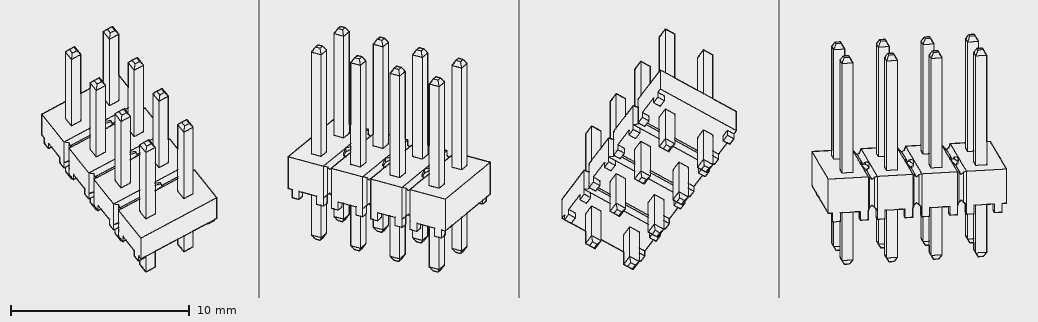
import cadquery as cq


columns = 4
rows = 2
body_length = 10.15
pitch = body_length / columns
body_width = pitch * rows
body_height = 2.02

notch_half_width = 0.25
notch_floor_half_width = 0.13
notch_depth = 0.25
pocket_half_length = 0.51

foot_size = 0.44
foot_height = 0.51

pin_length = 12.19
pin_above_body = 6.74
pin_width = 0.63
tip_width = 0.3
tip_length = 0.29

pin_bottom = body_height + pin_above_body - pin_length
column_centres = [(i - (columns - 1) / 2) * pitch for i in range(columns)]
row_centres = [(j - (rows - 1) / 2) * pitch for j in range(rows)]
break_lines = [x + pitch / 2 for x in column_centres[:-1]]


def v_groove(x, surface_z, apex_z):
    """V-shaped groove running the full width of the body."""
    profile = [
        (x - notch_half_width, surface_z),
        (x + notch_half_width, surface_z),
        (x, apex_z),
    ]
    return cq.Workplane("XZ").polyline(profile).close().extrude(body_width / 2, both=True)


def side_notch(x, side):
    """Full-height trapezoidal notch in one long side (side = -1 or 1)."""
    outer_y = side * body_width / 2
    floor_y = outer_y - side * notch_depth
    profile = [
        (x - notch_half_width, outer_y),
        (x + notch_half_width, outer_y),
        (x + notch_floor_half_width, floor_y),
        (x - notch_floor_half_width, floor_y),
    ]
    return cq.Workplane("XY").polyline(profile).close().extrude(body_height)


def centre_pocket(x):
    """Hexagonal pocket between the rows, as deep as the V groove."""
    profile = [
        (x - notch_half_width, 0),
        (x - notch_floor_half_width, pocket_half_length),
        (x + notch_floor_half_width, pocket_half_length),
        (x + notch_half_width, 0),
        (x + notch_floor_half_width, -pocket_half_length),
        (x - notch_floor_half_width, -pocket_half_length),
    ]
    pocket_floor = cq.Workplane("XY").workplane(offset=body_height - notch_depth)
    return pocket_floor.polyline(profile).close().extrude(notch_depth)


def make_body():
    body = cq.Workplane("XY").box(body_length, body_width, body_height, centered=(True, True, False))
    for x in break_lines:
        body = body.cut(v_groove(x, body_height, body_height - notch_depth))
        body = body.cut(v_groove(x, 0, notch_depth))
        body = body.cut(centre_pocket(x))
        for side in (-1, 1):
            body = body.cut(side_notch(x, side))
    return body


def make_feet():
    """Two feet per column on each long side, flush with that side and the notch edges."""
    x_offset = pitch / 2 - notch_half_width - foot_size / 2
    y_offset = body_width / 2 - foot_size / 2
    centres = [
        (x + x_side * x_offset, y_side * y_offset)
        for x in column_centres
        for x_side in (-1, 1)
        for y_side in (-1, 1)
    ]
    return cq.Workplane("XY").pushPoints(centres).rect(foot_size, foot_size).extrude(-foot_height)


def make_pin(x, y):
    """Square pin with a truncated pyramid at each end."""
    shank_bottom = pin_bottom + tip_length
    shank_length = pin_length - 2 * tip_length
    shank = (
        cq.Workplane("XY", origin=(x, y, shank_bottom))
        .rect(pin_width, pin_width)
        .extrude(shank_length)
    )
    for face, direction in ((">Z", 1), ("<Z", -1)):
        base_z = shank.faces(face).val().Center().z
        tip = (
            cq.Workplane("XY", origin=(x, y, base_z))
            .rect(pin_width, pin_width)
            .workplane(offset=direction * tip_length)
            .rect(tip_width, tip_width)
            .loft(ruled=True)
        )
        shank = shank.union(tip)
    return shank


result = make_body().union(make_feet())
for pin_x in column_centres:
    for pin_y in row_centres:
        result = result.union(make_pin(pin_x, pin_y))